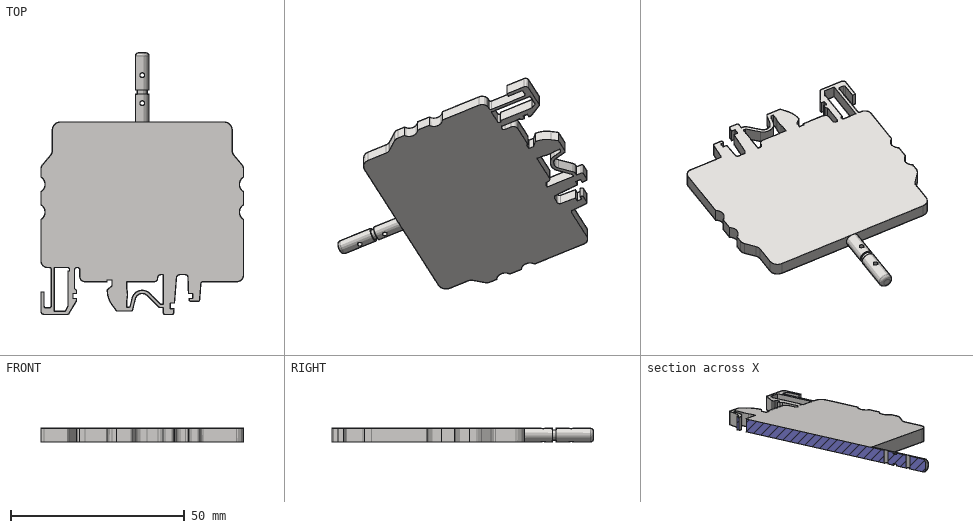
import cadquery as cq
import math

total_length = 75.5
body_width = 58.5
thickness = 4.0

half_width = body_width / 2
overlap = 1.1

small_radius = 0.5

body_bottom = 9.4
foot_root = 13.5
recess_root = 11.5
shoulder_low = 42.6
shoulder_high = 46.5
body_top = 55.6

shoulder_half_width = 26.0
top_corner_radius = 2.5
lower_corner_radius = 2.05
inner_corner_radius = 1.5
shoulder_radius = 2.05
foot_gap_right = -18.05
claw_left = -10.1
claw_neck = -8.75
claw_recess_top = 9.9
recess_left = 4.45
recess_radius = 1.0

grip_heights = (37.5, 29.5)
grip_chord = 4.2
grip_depth = 1.2

foot_stem_left = -26.3
foot_stem_right = -19.5
foot_gap_middle = (foot_stem_right + foot_gap_right) / 2
foot_gap_radius = 0.6
foot_lip_right = -18.95
foot_toe_right = -21.3
hook_height = 6.6
hook_wall = 1.0
hook_slot_floor = 2.0
foot_corner_radius = 1.0
slot_radius = 0.45
latch_notch_low = 4.7
latch_notch_high = 6.05
latch_notch_floor = -19.9
lip_low = 3.9
lip_high = 6.95
window_left = -25.4
window_right = -21.45
window_floor = 1.0
window_chamfer_width = 0.75
window_chamfer_height = 1.4
window_pocket_depth = 0.45
window_pocket_height = 0.9

claw_floor = 1.0
claw_shelf = 2.1
shelf_radius = 0.4
claw_right = -4.45
claw_toe_left = -7.4
claw_lip_high = 7.1
claw_neck_low = 8.3
claw_flank_low = 4.7
claw_flank_radius = 7.2
bulge_height = 0.3
bulge_radius = 7.55
bulge_low = 3.8
bulge_high = 7.7

spring_centre_y = 4.0
spring_outer_radius = 3.0
spring_inner_radius = 2.05
spring_left_slope = 0.25
spring_right_slope = 1.0
spring_foot_low = 2.0
spring_foot_high = 3.0
spring_foot_radius = 1.2

post_left = 6.05
post_root_right = 10.0
post_tip_right = 9.05
post_notch_low = 1.7
post_notch_high = 3.3
post_notch_floor = 8.1

hook_root_left = 13.1
hook_waist_left = 13.3
hook_notch_floor = 14.5
hook_tip_left = 13.5
hook_floor = 3.8
hook_tip_right = 16.5
hook_root_right = 17.0
hook_root_radius = 0.75

pin_radius = thickness / 2
pin_tip_radius = 1.0
pin_groove_radius = 1.5
pin_groove_low = 63.6
pin_groove_high = 64.7
pin_hole_diameter = 1.3
pin_hole_heights = (60.9, 69.0)


def toward(start, end, distance):
    """Point at the given distance from start on the line to end."""
    share = distance / math.dist(start, end)
    return (start[0] + share * (end[0] - start[0]), start[1] + share * (end[1] - start[1]))


def corner_arc(before, corner, after, radius):
    """Start, middle and end of the arc that rounds a corner."""
    in_angle = math.atan2(before[1] - corner[1], before[0] - corner[0])
    out_angle = math.atan2(after[1] - corner[1], after[0] - corner[0])
    half_angle = abs(math.remainder(out_angle - in_angle, math.tau)) / 2
    setback = radius / math.tan(half_angle)
    start = toward(corner, before, setback)
    end = toward(corner, after, setback)
    chord_middle = ((start[0] + end[0]) / 2, (start[1] + end[1]) / 2)
    middle = toward(corner, chord_middle, radius / math.sin(half_angle) - radius)
    return start, middle, end


def plate(corners):
    """Plate from (x, y) or (x, y, rounding radius) corners; the first corner stays sharp."""
    outline = cq.Workplane("XY").moveTo(*corners[0][:2])
    for index, corner in enumerate(corners[1:], start=1):
        if len(corner) == 2:
            outline = outline.lineTo(*corner)
            continue
        before = corners[index - 1][:2]
        after = corners[(index + 1) % len(corners)][:2]
        start, middle, end = corner_arc(before, corner[:2], after, corner[2])
        outline = outline.lineTo(*start).threePointArc(middle, end)
    return outline.close().extrude(thickness / 2, both=True)


def make_body():
    body = plate([
        (0, body_top),
        (-shoulder_half_width, body_top, top_corner_radius),
        (-shoulder_half_width, shoulder_high, shoulder_radius),
        (-half_width, shoulder_low, shoulder_radius),
        (-half_width, foot_root, lower_corner_radius),
        (foot_gap_right, foot_root, foot_gap_radius),
        (foot_gap_right, body_bottom, inner_corner_radius),
        (claw_left, body_bottom),
        (claw_left, claw_recess_top),
        (claw_neck, claw_recess_top),
        (claw_neck, body_bottom),
        (recess_left, body_bottom, recess_radius),
        (recess_left, recess_root, recess_radius),
        (hook_waist_left, recess_root),
        (hook_waist_left, body_bottom),
        (half_width, body_bottom, lower_corner_radius),
        (half_width, shoulder_low, shoulder_radius),
        (shoulder_half_width, shoulder_high, shoulder_radius),
        (shoulder_half_width, body_top, top_corner_radius),
    ])
    grip_radius = ((grip_chord / 2) ** 2 + grip_depth ** 2) / (2 * grip_depth)
    grip_centre = half_width - grip_depth + grip_radius
    grip_points = [(side * grip_centre, height) for side in (-1, 1) for height in grip_heights]
    grips = (
        cq.Workplane("XY").pushPoints(grip_points).circle(grip_radius)
        .extrude(thickness / 2, both=True)
    )
    return body.cut(grips)


def make_left_foot():
    foot = plate([
        (foot_stem_left - overlap, foot_root + overlap),
        (foot_stem_left - overlap, foot_root),
        (foot_stem_left, foot_root, slot_radius),
        (foot_stem_left, hook_slot_floor, slot_radius),
        (-half_width + hook_wall, hook_slot_floor, slot_radius),
        (-half_width + hook_wall, hook_height),
        (-half_width, hook_height),
        (-half_width, 0, foot_corner_radius),
        (foot_toe_right, 0, small_radius),
        (foot_lip_right, lip_low),
        (foot_lip_right, latch_notch_low),
        (latch_notch_floor, latch_notch_low),
        (latch_notch_floor, latch_notch_high),
        (foot_lip_right, latch_notch_high),
        (foot_lip_right, lip_high),
        (foot_stem_right, lip_high + foot_lip_right - foot_stem_right),
        (foot_stem_right, foot_root, foot_gap_radius),
        (foot_gap_middle, foot_root),
        (foot_gap_middle, foot_root + overlap),
    ])
    window = plate([
        (window_left, foot_root),
        (window_left, window_floor),
        (window_right - window_chamfer_width, window_floor),
        (window_right, window_floor + window_chamfer_height),
        (window_right, foot_root - window_pocket_height),
        (window_right + window_pocket_depth, foot_root - window_pocket_height),
        (window_right + window_pocket_depth, foot_root, slot_radius),
    ])
    return foot.cut(window)


def left_leg(radius, height):
    """Point on the left spring leg, on the line that touches the arch circle of the given radius."""
    reach = radius * math.hypot(1, spring_left_slope)
    return (-reach + spring_left_slope * (height - spring_centre_y), height)


def right_leg(radius, height):
    """Point on the right spring leg, on the line that touches the arch circle of the given radius."""
    reach = radius * math.hypot(1, spring_right_slope)
    return (reach - spring_right_slope * (height - spring_centre_y), height)


def make_claw():
    leg_top = claw_shelf + overlap
    return plate([
        (claw_right, body_bottom + overlap),
        (claw_neck, body_bottom + overlap),
        (claw_neck, claw_neck_low),
        (claw_left, claw_lip_high),
        (claw_left, claw_flank_low, claw_flank_radius),
        (claw_toe_left, claw_floor),
        (*left_leg(spring_inner_radius, claw_floor), small_radius),
        left_leg(spring_inner_radius, leg_top),
        left_leg(spring_outer_radius, leg_top),
        (*left_leg(spring_outer_radius, claw_shelf), shelf_radius),
        (claw_right, claw_shelf),
        (claw_right, bulge_low),
        (claw_right + bulge_height, (bulge_low + bulge_high) / 2, bulge_radius),
        (claw_right, bulge_high),
    ])


def arch_apex(radius):
    """Corner where the lines of both spring legs would meet above the arch."""
    left_x, height = left_leg(radius, spring_centre_y)
    right_x, _ = right_leg(radius, spring_centre_y)
    rise = (right_x - left_x) / (spring_left_slope + spring_right_slope)
    return right_leg(radius, height + rise)


def make_spring():
    return plate([
        left_leg(spring_inner_radius, claw_shelf),
        left_leg(spring_outer_radius, claw_shelf),
        (*arch_apex(spring_outer_radius), spring_outer_radius),
        right_leg(spring_outer_radius, spring_foot_high),
        (post_left + overlap, spring_foot_high),
        (post_left + overlap, spring_foot_low),
        (*right_leg(spring_inner_radius, spring_foot_low), spring_foot_radius),
        (*arch_apex(spring_inner_radius), spring_inner_radius),
    ])


def make_post():
    flank_slope = (post_root_right - post_tip_right) / recess_root

    def flank(height):
        return (post_tip_right + flank_slope * height, height)

    return plate([
        (post_left, recess_root + overlap),
        (post_left, 0, small_radius),
        (*flank(0), small_radius),
        flank(post_notch_low),
        (post_notch_floor, post_notch_low),
        (post_notch_floor, post_notch_high),
        flank(post_notch_high),
        (post_root_right, recess_root, recess_radius),
        (post_root_right + overlap, recess_root),
        (post_root_right + overlap, recess_root + overlap),
    ])


def make_right_hook():
    return plate([
        (hook_root_left - overlap, recess_root + overlap),
        (hook_root_left - overlap, recess_root),
        (hook_root_left, recess_root, hook_root_radius),
        (hook_waist_left, latch_notch_high),
        (hook_notch_floor, latch_notch_high),
        (hook_notch_floor, latch_notch_low),
        (hook_tip_left, latch_notch_low),
        (hook_tip_left, hook_floor, small_radius),
        (hook_tip_right, hook_floor, small_radius),
        (hook_root_right, body_bottom, small_radius),
        (hook_root_right + overlap, body_bottom),
        (hook_root_right + overlap, recess_root + overlap),
    ])


def make_pin():
    profile = (
        cq.Workplane("XY")
        .moveTo(0, body_top - overlap)
        .lineTo(pin_radius, body_top - overlap)
        .lineTo(pin_radius, pin_groove_low)
        .lineTo(pin_groove_radius, pin_groove_low)
        .lineTo(pin_groove_radius, pin_groove_high)
        .lineTo(pin_radius, pin_groove_high)
        .lineTo(pin_radius, total_length - pin_tip_radius)
        .radiusArc((pin_radius - pin_tip_radius, total_length), -pin_tip_radius)
        .lineTo(0, total_length)
        .close()
    )
    pin = profile.revolve(360, (0, 0, 0), (0, 1, 0))
    holes = (
        cq.Workplane("XY").pushPoints([(0, height) for height in pin_hole_heights])
        .circle(pin_hole_diameter / 2).extrude(thickness, both=True)
    )
    return pin.cut(holes)


result = (
    make_body()
    .union(make_left_foot())
    .union(make_claw())
    .union(make_spring())
    .union(make_post())
    .union(make_right_hook())
    .union(make_pin())
)